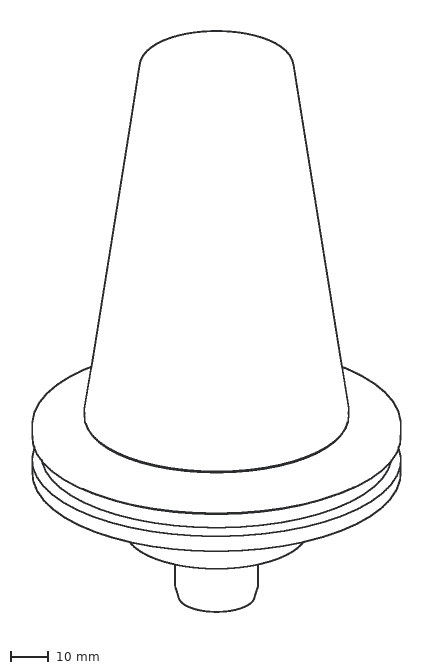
import cadquery as cq
import math

overall_length = 155.6
taper_length = 101.4
gauge_diameter = 69.85
taper_ratio = 7 / 24
nose_radius = 2.2

collar_height = 2.05
neck_diameter = 69.2
neck_foot_rounding = 0.85
neck_height = 3.4

flange_diameter = 97.45
flange_thickness = 15.9
flange_edge_rounding = 1.0
groove_center_depth = 11.25
groove_diameter = 91.0
groove_floor_width = 2.3
groove_corner_radius = 0.8
groove_wall_slope = 30

hub_diameter = 48.0
hub_height = 16.0
pin_diameter = 22.0
pin_edge_height = 3.2
pin_edge_depth = 0.9

top_diameter = gauge_diameter - taper_length * taper_ratio
gauge_radius = gauge_diameter / 2
neck_radius = neck_diameter / 2
flange_radius = flange_diameter / 2
groove_radius = groove_diameter / 2
hub_radius = hub_diameter / 2
pin_radius = pin_diameter / 2

flange_top = -neck_height
neck_foot_top = flange_top + neck_foot_rounding
flange_bottom = flange_top - flange_thickness
hub_bottom = flange_bottom - hub_height
pin_bottom = taper_length - overall_length


def make_body():
    """Revolve the half profile of the taper, flange, hub and pin about Z."""
    neck_foot_radius = neck_radius + neck_foot_rounding
    foot_diagonal = neck_foot_rounding * math.sqrt(0.5)
    neck_foot_middle = (neck_foot_radius - foot_diagonal, neck_foot_top - foot_diagonal)

    profile = (
        cq.Workplane("XZ")
        .moveTo(0, taper_length)
        .lineTo(top_diameter / 2, taper_length)
        .lineTo(gauge_radius, 0)
        .lineTo(gauge_radius, -collar_height)
        .lineTo(neck_radius, neck_foot_top)
        .threePointArc(neck_foot_middle, (neck_foot_radius, flange_top))
        .lineTo(flange_radius, flange_top)
        .lineTo(flange_radius, flange_bottom)
        .lineTo(hub_radius, flange_bottom)
        .lineTo(hub_radius, hub_bottom)
        .lineTo(pin_radius, hub_bottom)
        .lineTo(pin_radius, pin_bottom + pin_edge_height)
        .lineTo(pin_radius - pin_edge_depth, pin_bottom)
        .lineTo(0, pin_bottom)
        .close()
    )
    return profile.revolve(360, (0, 0, 0), (0, 1, 0))


def make_groove():
    """Ring with a flat floor, rounded corners and sloping walls that cuts the flange rim."""
    floor_half = groove_floor_width / 2
    corner_half = floor_half + groove_corner_radius
    corner_end_radius = groove_radius + groove_corner_radius
    wall_depth = flange_radius - corner_end_radius
    mouth_half = corner_half + wall_depth * math.tan(math.radians(groove_wall_slope))

    diagonal = groove_corner_radius * math.sqrt(0.5)
    arc_middle_radius = corner_end_radius - diagonal
    arc_middle_half = floor_half + diagonal

    profile = (
        cq.Workplane("XZ")
        .moveTo(groove_radius, -floor_half)
        .lineTo(groove_radius, floor_half)
        .threePointArc((arc_middle_radius, arc_middle_half), (corner_end_radius, corner_half))
        .lineTo(flange_radius, mouth_half)
        .lineTo(flange_radius, -mouth_half)
        .lineTo(corner_end_radius, -corner_half)
        .threePointArc((arc_middle_radius, -arc_middle_half), (groove_radius, -floor_half))
        .close()
    )
    ring = profile.revolve(360, (0, 0, 0), (0, 1, 0))
    return ring.translate((0, 0, -groove_center_depth))


body = make_body()
body = body.faces(">Z").edges().fillet(nose_radius)
rim_edges = body.edges(cq.selectors.RadiusNthSelector(-1))
body = rim_edges.fillet(flange_edge_rounding)
result = body.cut(make_groove())